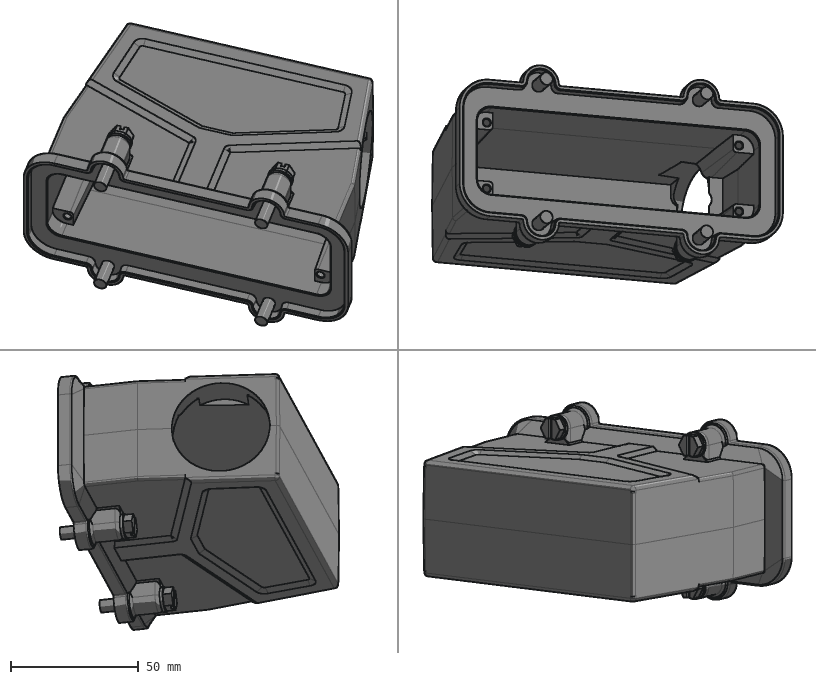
import cadquery as cq
import math


hood_length = 85.1
mating_half_width = 59.8
closed_half_width = 50.4
shoulder_y = 30.3
raised_half_depth = 23.1
step_height = 1.5
base_half_depth = raised_half_depth - step_height
end_draft = 0.7
raised_round = 1.7
base_round = 1.3

slope = math.tan(math.radians(20))
step_run = 2.5
step_taper = math.degrees(math.atan(step_run / step_height))
ridge_half_width = 8.4
ridge_top_y = 31.4
overhang = 6.6

pocket_top_y = 77.7
pocket_bottom_y = 39.0
pocket_bottom_half = 6.6
pocket_top_half = 44.2
pocket_side_half = 47.7
pocket_corner = 3.7

flange_width = 133.0
flange_depth = 55.6
flange_corner = 12.4
flange_edge = 5.5
flange_round = 0.7
skirt_top = 8.9
lobe_x = 33.0
lobe_z = 28.2
lobe_radius = 71.0 / 2 - lobe_z
lobe_blend = 0.8

rim = 1.3
rim_chamfer = 0.4
recess_depth = 3.7
recess_draft = 5.0

cavity_floor_y = 80.6
cavity_half_width = 58.0
cavity_shoulder_half = 57.7
cavity_floor_half = 49.0
cavity_depth = 35.4
cavity_corner = 5.9
mating_draft = 0.5
cavity_draft = 1.4
mouth_chamfer = 0.4

post_face_y = 10.6
post_inner_x = 49.5
post_inner_z = 10.5
post_corner = 1.3
post_draft = 2.5
post_hole_x = 51.9
post_hole_z = 13.4
post_hole_diameter = 2.9
post_hole_chamfer = 0.3
post_hole_depth = 10.6

entry_diameter = 38.5
entry_y = 62.6
entry_length = 29.3
shelf_y = 42.5
shelf_inner_x = 49.9

boss_radius = 10.0 / 2
boss_flare = 0.7
boss_top = 18.0
boss_round = 1.9
boss_cone_rise = 0.5
boss_cove = 1.0
washer_diameter = 10.0
washer_height = 1.2
head_across_flats = 8.0
head_height = 3.6
slot_width = 1.5
slot_depth = 1.3
pin_diameter = 5.0
pin_tip = -6.8

SCREW_SPOTS = [(sx * lobe_x, sz * lobe_z) for sx in (-1, 1) for sz in (-1, 1)]


def plane_y(y, x=0, z=0):
    """Work plane facing +Y; its local axes are X and -Z."""
    return cq.Workplane(cq.Plane(origin=(x, y, z), xDir=(1, 0, 0), normal=(0, 1, 0)))


def rounded_block(width, depth, radius, y0, y1, taper=0):
    """Block along Y with rounded corners."""
    outline = cq.Sketch().rect(width, depth).vertices().fillet(radius)
    return plane_y(y0).placeSketch(outline).extrude(y1 - y0, taper=taper)


def hood_block(half_depth, edge_round):
    """Hood outline drawn out both ways from z = 0, with rounded front and back edges."""
    block = (
        cq.Workplane("XY")
        .polyline([
            (-mating_half_width, flange_round),
            (mating_half_width, flange_round),
            (mating_half_width, shoulder_y),
            (closed_half_width, hood_length),
            (-closed_half_width, hood_length),
            (-mating_half_width, shoulder_y),
        ])
        .close()
        .extrude(half_depth, taper=end_draft)
    )
    end_corners = cq.selectors.BoxSelector(
        (-mating_half_width, hood_length - 1.3, half_depth / 4), (mating_half_width, hood_length + 1.3, half_depth * 0.75))
    block = block.edges(cq.selectors.SumSelector(
        cq.selectors.SubtractSelector(
            cq.selectors.DirectionMinMaxSelector(cq.Vector(0, 0, 1), True),
            cq.selectors.DirectionMinMaxSelector(cq.Vector(0, 1, 0), False)),
        end_corners)).fillet(edge_round)
    return block.union(block.mirror("XY"))


def raised_region():
    """Region of the Y-shaped raised face on +Z, with a sloping step around it."""
    far_x = mating_half_width + overhang
    far_y = hood_length + overhang
    side_y = ridge_top_y + (far_x - ridge_half_width) * slope
    half = [
        (ridge_half_width, 0),
        (ridge_half_width, ridge_top_y),
        (far_x, side_y),
        (far_x, far_y),
    ]
    outline = half + [(-x, y) for x, y in reversed(half)]
    root_z = base_half_depth - 2 * base_round
    root = cq.Workplane("XY", origin=(0, 0, root_z)).polyline(outline).close()
    step = cq.Workplane("XY", origin=(0, 0, base_half_depth)).polyline(outline).close()
    return root.extrude(2 * base_round).union(step.extrude(step_height, taper=step_taper))


def label_pocket():
    """Five-cornered pocket with sloping sides, sunk from the +Z raised face."""
    side_y = pocket_bottom_y + (pocket_side_half - pocket_bottom_half) * slope
    outline = [
        (pocket_bottom_half, pocket_bottom_y),
        (pocket_side_half, side_y),
        (pocket_top_half, pocket_top_y),
        (-pocket_top_half, pocket_top_y),
        (-pocket_side_half, side_y),
        (-pocket_bottom_half, pocket_bottom_y),
    ]
    bottom = raised_half_depth - step_height
    prism = cq.Workplane("XY", origin=(0, 0, bottom)).polyline(outline).close().extrude(step_height)
    prism = prism.edges("|Z").edges(cq.selectors.BoxSelector(
        (-flange_width, side_y - 1.3, 0), (flange_width, hood_length, hood_length))).fillet(pocket_corner)
    rim_wire = prism.faces(">Z").wires().vals()[0]
    return (
        cq.Workplane("XY", origin=(0, 0, raised_half_depth))
        .add(rim_wire)
        .toPending()
        .extrude(-step_height, taper=step_taper)
    )


def hood():
    raised = raised_region()
    pocket = label_pocket()
    face = hood_block(raised_half_depth, raised_round)
    face_both = face.intersect(raised.union(raised.mirror("XY")))
    body = hood_block(base_half_depth, base_round).union(face_both)
    return body.cut(pocket).cut(pocket.mirror("XY"))


def flange_outline(inset, y0, y1):
    """Flange outline with its four screw lobes, moved inward by an inset."""
    plate = rounded_block(flange_width - 2 * inset, flange_depth - 2 * inset, flange_corner - inset, y0, y1)
    lobes = plane_y(y0).pushPoints(SCREW_SPOTS).circle(lobe_radius - inset).extrude(y1 - y0)
    joint = cq.selectors.BoxSelector(
        (-lobe_x - lobe_radius - 1.3, -1.3, -lobe_z - 1.3), (lobe_x + lobe_radius + 1.3, hood_length, lobe_z + 1.3))
    return plate.union(lobes).edges("|Y").edges(joint).fillet(lobe_blend + inset)


def skirt():
    """Sloping shoulder from the flange up to the hood wall."""
    foot = cq.Sketch().rect(flange_width - 2 * flange_round, flange_depth - 2 * flange_round)
    foot = foot.vertices().fillet(flange_corner - flange_round)
    top = cq.Sketch().rect(2 * mating_half_width, 2 * base_half_depth).vertices().fillet(base_round)
    rise = cq.Location(cq.Vector(0, 0, skirt_top - flange_edge))
    return plane_y(flange_edge).placeSketch(foot, top.moved(rise)).loft(ruled=True)


def gasket_recess():
    """Drafted recess in the mating face with a chamfered rim."""
    lead_in = flange_outline(rim, 0, recess_depth).faces("<Y").wires().toPending()
    lead_in = lead_in.workplane().extrude(-rim_chamfer, taper=45, combine=False)
    seat = flange_outline(rim + rim_chamfer, 0, recess_depth).faces("<Y").wires().toPending()
    seat = seat.workplane().extrude(-recess_depth, taper=recess_draft, combine=False)
    return lead_in.union(seat)


def flange():
    return flange_outline(0, 0, flange_edge).faces(">Y").edges().fillet(flange_round).union(skirt())


def cavity():
    """Hollow of the hood, narrowed by the corner posts and the cable entry shelf."""
    profile = (
        cq.Workplane("XY")
        .polyline([
            (-cavity_half_width, 0),
            (cavity_half_width, 0),
            (cavity_shoulder_half, shoulder_y),
            (cavity_floor_half, cavity_floor_y),
            (-cavity_floor_half, cavity_floor_y),
            (-cavity_shoulder_half, shoulder_y),
        ])
        .close()
        .extrude(cavity_depth, both=True)
    )
    narrowing = 2 * shoulder_y * math.tan(math.radians(mating_draft))
    width = 2 * cavity_half_width
    mouth = rounded_block(width, cavity_depth, cavity_corner, 0, shoulder_y, mating_draft)
    deep = rounded_block(
        width - narrowing, cavity_depth - narrowing, cavity_corner, shoulder_y, cavity_floor_y, cavity_draft)
    space = profile.intersect(mouth.union(deep))
    shelf = cq.Workplane("XY").box(
        cavity_half_width - shelf_inner_x, cavity_floor_y - shelf_y, cavity_depth, centered=(False, False, True)
    ).translate((shelf_inner_x, shelf_y, 0))
    lead_in = rounded_block(
        width + 2 * mouth_chamfer, cavity_depth + 2 * mouth_chamfer, cavity_corner + mouth_chamfer,
        recess_depth, recess_depth + mouth_chamfer, 45)
    return space.cut(shelf).cut(posts()).union(lead_in)


def posts():
    """Four posts that widen toward the cavity floor."""
    width = mating_half_width - post_inner_x
    depth = base_half_depth - post_inner_z
    post = (
        plane_y(post_face_y, post_inner_x + width / 2, -post_inner_z - depth / 2)
        .placeSketch(cq.Sketch().rect(width, depth).vertices().fillet(post_corner))
        .extrude(cavity_floor_y - post_face_y, taper=-post_draft)
    )
    pair = post.union(post.mirror("XY"))
    return pair.union(pair.mirror("YZ"))


def post_holes():
    """Blind drilled holes with conical tips."""
    radius = post_hole_diameter / 2
    drill = (
        cq.Workplane("XY")
        .polyline([
            (0, post_face_y),
            (radius + post_hole_chamfer, post_face_y),
            (radius, post_face_y + post_hole_chamfer),
            (radius, post_face_y + post_hole_depth),
            (0, post_face_y + post_hole_depth + radius),
        ])
        .close()
        .revolve(360, (0, 0), (0, 1))
    )
    holes = cq.Workplane("XY")
    for sx in (-1, 1):
        for sz in (-1, 1):
            holes = holes.union(drill.translate((sx * post_hole_x, 0, sz * post_hole_z)))
    return holes


def cable_entry():
    """Round hole square to the sloping +X end wall."""
    lean = math.atan2(mating_half_width - closed_half_width, hood_length - shoulder_y)
    along = (entry_y - shoulder_y) / (hood_length - shoulder_y)
    wall_x = mating_half_width + (closed_half_width - mating_half_width) * along
    normal = cq.Vector(math.cos(lean), math.sin(lean), 0)
    plane = cq.Plane(origin=(wall_x, entry_y, 0), xDir=(0, 0, 1), normal=normal)
    return cq.Workplane(plane).circle(entry_diameter / 2).extrude(entry_length / 2, both=True)


def screw_boss():
    """Boss on the +Z side whose flanks flare at the hood wall, with a conical foot."""
    wall = base_half_depth - lobe_z
    root = wall - base_round
    foot_half = boss_radius + boss_flare
    boss = (
        cq.Workplane("XZ", origin=(0, recess_depth, 0))
        .moveTo(foot_half, root)
        .lineTo(foot_half, wall)
        .lineTo(boss_radius, wall + boss_flare)
        .lineTo(boss_radius, 0)
        .threePointArc((0, boss_radius), (-boss_radius, 0))
        .lineTo(-boss_radius, wall + boss_flare)
        .lineTo(-foot_half, wall)
        .lineTo(-foot_half, root)
        .close()
        .extrude(recess_depth - boss_top)
    )
    crown = cq.selectors.BoxSelector(
        (-boss_radius - 0.1, boss_top - 0.1, wall + boss_flare), (boss_radius + 0.1, boss_top + 0.1, boss_radius))
    boss = boss.edges(crown).fillet(boss_round)
    cone_edge = lobe_radius - flange_round
    cone_top = flange_edge + boss_cone_rise
    cove_drop = boss_cove * (1 - math.sqrt(0.5))
    cone = (
        cq.Workplane("XY")
        .moveTo(0, recess_depth)
        .lineTo(cone_edge, recess_depth)
        .lineTo(cone_edge, flange_edge)
        .lineTo(boss_radius + boss_cove, cone_top)
        .threePointArc((boss_radius + cove_drop, cone_top + cove_drop), (boss_radius, cone_top + boss_cove))
        .lineTo(0, cone_top + boss_cove)
        .close()
        .revolve(360, (0, 0), (0, 1))
    )
    return boss.union(cone)


def screw():
    """Slotted hexagon screw on a washer, its plain tip standing out of the mating face."""
    washer_top = boss_top + washer_height
    head_top = washer_top + head_height
    corners = head_across_flats / math.cos(math.pi / 6)
    shank = plane_y(pin_tip).circle(pin_diameter / 2).extrude(boss_top - pin_tip)
    washer = plane_y(boss_top).circle(washer_diameter / 2).extrude(washer_height)
    head = plane_y(washer_top).polygon(6, corners).extrude(head_height)
    slot = cq.Workplane("XY").box(slot_width, 2 * slot_depth, corners).translate((0, head_top, 0))
    return shank.union(washer).union(head.cut(slot))


def at_lobes(shape):
    """Copies of a +Z side shape, mirrored to all four lobes."""
    right = shape.translate((lobe_x, 0, lobe_z))
    left = shape.translate((-lobe_x, 0, lobe_z))
    pair = right.union(left)
    return pair.union(pair.mirror("XY"))


shell = hood().union(flange()).union(at_lobes(screw_boss()))
shell = shell.cut(gasket_recess())
shell = shell.cut(cavity()).cut(post_holes()).cut(cable_entry())
result = shell.union(at_lobes(screw()))